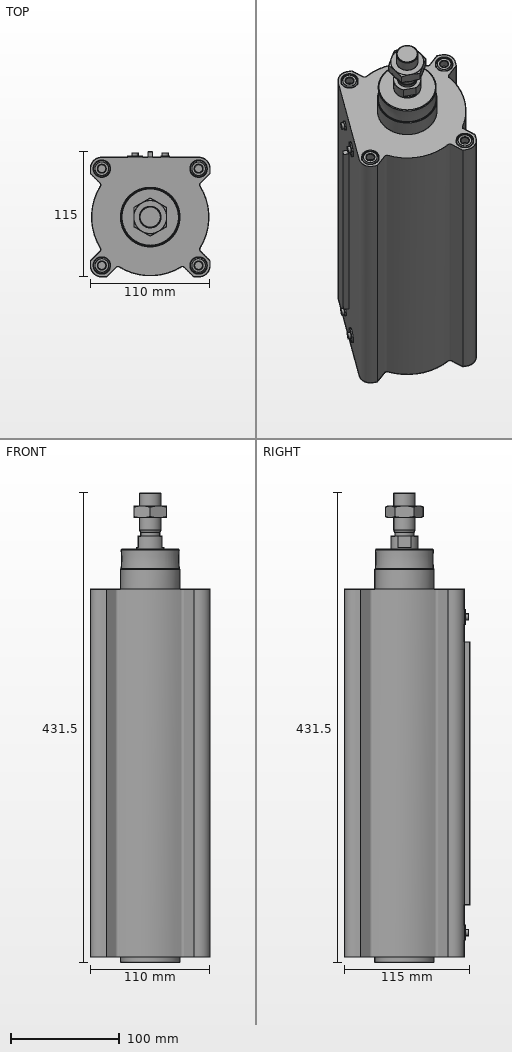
import cadquery as cq
import math

overall_height = 431.5

barrel_bottom = 5.0
barrel_top = 343.0
barrel_radius = 54.0
barrel_width = 110.0
lug_spacing = 44.5
barrel_half_width = barrel_width / 2
lug_radius = barrel_half_width - lug_spacing
lug_flat_end = 40.0
web_fillet = 2.5

groove_outer_diameter = 16.0
groove_inner_diameter = 15.0
groove_depth = 2.0
screw_head_chamfer = 1.5
socket_diameter = 7.5
socket_mouth_diameter = 8.0
socket_depth = 8.5

collar_diameter = 55.0
bottom_collar_fillet = 1.5
neck_top = 362.0
neck_chamfer = 1.0
wiper_top = 379.7
wiper_end_diameter = 53.5
wiper_waist_diameter = 52.5
wiper_top_chamfer = 1.0

rod_diameter = 25.0
rod_shoulder = 392.0
rod_flat_width = 22.0
rod_flat_bottom = 381.5
undercut_diameter = 17.5
undercut_top = 395.0
thread_diameter = 20.0
thread_lower_chamfer_height = 2.5
thread_lower_chamfer_depth = (thread_diameter - undercut_diameter) / 2
thread_top_chamfer = 0.65

nut_bottom = 408.5
nut_height = 11.0
nut_across_flats = 30.0
nut_corner_chamfer_height = 1.1

rail_width = 4.5
rail_bottom = 53.0
rail_top = 294.5
rail_height = 5.0
rail_fillet = 1.0
fitting_offset = 14.0
fitting_heights = (27.5, 317.5)
flange_thickness = 1.5
wide_flange_diameter = 14.0
narrow_flange_diameter = 8.0
fitting_head_diameter = 6.0
fitting_head_height = 4.0


def cylinder(diameter, bottom, top):
    """Round bar on the Z axis between two heights."""
    return cq.Workplane("XY").workplane(offset=bottom).circle(diameter / 2).extrude(top - bottom)


def lug(angle):
    """Corner lug with a rounded corner, two flat sides and 45 degree webs, turned about Z."""
    corner_arc = lug_spacing + lug_radius * math.sin(math.pi / 4)
    outline = (
        cq.Workplane("XY")
        .workplane(offset=barrel_bottom)
        .moveTo(barrel_half_width, lug_flat_end)
        .lineTo(barrel_half_width, lug_spacing)
        .threePointArc((corner_arc, corner_arc), (lug_spacing, barrel_half_width))
        .lineTo(lug_flat_end, barrel_half_width)
        .lineTo(0, barrel_half_width - lug_flat_end)
        .lineTo(barrel_half_width - lug_flat_end, 0)
        .close()
    )
    return outline.extrude(barrel_top - barrel_bottom).rotate((0, 0, 0), (0, 0, 1), angle)


def barrel():
    """Round barrel with four corner lugs, filleted webs and a flat +Y side."""
    body = cylinder(2 * barrel_radius, barrel_bottom, barrel_top)
    for angle in (0, 90, 180, 270):
        body = body.union(lug(angle))
    edge_band = 0.05
    concave = [
        edge
        for edge in body.edges("|Z").vals()
        if abs(math.hypot(edge.Center().x, edge.Center().y) - barrel_radius) < edge_band
        and edge.Center().y < lug_flat_end
    ]
    body = body.newObject(concave).fillet(web_fillet)
    flat_side = (
        cq.Workplane("XY")
        .workplane(offset=barrel_bottom)
        .center(0, barrel_half_width / 2)
        .rect(2 * lug_flat_end, barrel_half_width)
        .extrude(barrel_top - barrel_bottom)
    )
    return body.union(flat_side)


def screw_recesses():
    """Cutters for the ring groove and the chamfered socket in the top of each lug."""
    mouth_depth = (socket_mouth_diameter - socket_diameter) / 2
    groove = cylinder(groove_outer_diameter, barrel_top - groove_depth, barrel_top)
    head = cylinder(groove_inner_diameter, barrel_top - groove_depth, barrel_top)
    groove = groove.cut(head.faces(">Z").edges().chamfer(screw_head_chamfer))
    socket = (
        cq.Workplane("XZ")
        .moveTo(0, barrel_top)
        .lineTo(socket_mouth_diameter / 2, barrel_top)
        .lineTo(socket_diameter / 2, barrel_top - mouth_depth)
        .lineTo(socket_diameter / 2, barrel_top - socket_depth)
        .lineTo(0, barrel_top - socket_depth)
        .close()
        .revolve(360, (0, 0, 0), (0, 1, 0))
    )
    cutter = cq.Compound.makeCompound([groove.val(), socket.val()])
    corners = cq.Workplane("XY").rect(2 * lug_spacing, 2 * lug_spacing, forConstruction=True).vertices()
    return corners.eachpoint(lambda place: cutter.moved(place))


def collars():
    """Bottom spigot, top neck and the slightly waisted wiper collar above it."""
    spigot = cylinder(collar_diameter, 0, barrel_bottom)
    spigot = spigot.faces("<Z").edges().fillet(bottom_collar_fillet)
    neck = cylinder(collar_diameter, barrel_top, neck_top)
    neck = neck.faces(">Z").edges().chamfer(neck_chamfer)
    wiper = (
        cq.Workplane("XZ")
        .moveTo(0, neck_top)
        .lineTo(wiper_end_diameter / 2, neck_top)
        .threePointArc(
            (wiper_waist_diameter / 2, (neck_top + wiper_top) / 2),
            (wiper_end_diameter / 2, wiper_top),
        )
        .lineTo(0, wiper_top)
        .close()
        .revolve(360, (0, 0, 0), (0, 1, 0))
        .faces(">Z")
        .edges()
        .chamfer(wiper_top_chamfer)
    )
    return spigot, neck, wiper


def sensor_rail():
    """Long rail with rounded edges on the flat +Y side."""
    return (
        cq.Workplane("XY")
        .workplane(offset=rail_bottom)
        .center(0, barrel_half_width + rail_height / 2)
        .rect(rail_width, rail_height)
        .extrude(rail_top - rail_bottom)
        .faces(">Y")
        .edges("|Z")
        .fillet(rail_fillet)
    )


def fitting(x, z, flange_diameter):
    """Round-headed fitting on a round flange, standing on the flat +Y side."""
    base = cq.Workplane("XZ", origin=(x, barrel_half_width, z))
    flange = base.circle(flange_diameter / 2).extrude(-flange_thickness)
    head = base.circle(fitting_head_diameter / 2).extrude(-fitting_head_height)
    return flange.union(head)


def make_housing():
    """Barrel with its collars, rail and fittings, bored for the piston rod."""
    body = barrel().cut(screw_recesses())
    for collar in collars():
        body = body.union(collar)
    body = body.union(sensor_rail())
    for z in fitting_heights:
        body = body.union(fitting(-fitting_offset, z, wide_flange_diameter))
        body = body.union(fitting(fitting_offset, z, narrow_flange_diameter))
    return body.cut(cylinder(rod_diameter, barrel_top, wiper_top))


def make_rod():
    """Rod with two wrench flats, an undercut and a plain cylinder for the thread."""
    shank = cylinder(rod_diameter, barrel_top, rod_shoulder)
    flats = (
        cq.Workplane("XY")
        .workplane(offset=rod_flat_bottom)
        .rect(2 * rod_diameter, 2 * rod_diameter)
        .rect(rod_flat_width, 2 * rod_diameter)
        .extrude(rod_shoulder - rod_flat_bottom)
    )
    undercut = cylinder(undercut_diameter, rod_shoulder, undercut_top)
    thread = cylinder(thread_diameter, undercut_top, overall_height)
    thread = thread.faces(">Z").edges().chamfer(thread_top_chamfer)
    thread = thread.faces("<Z").edges().chamfer(thread_lower_chamfer_height, thread_lower_chamfer_depth)
    return shank.cut(flats).union(undercut).union(thread)


def make_nut():
    """Hexagon nut with corners along Y and cone-chamfered at both ends."""
    corner_diameter = nut_across_flats / math.cos(math.pi / 6)
    corner_chamfer = (corner_diameter - nut_across_flats) / 2
    top = nut_bottom + nut_height
    blank = (
        cq.Workplane("XY")
        .workplane(offset=nut_bottom)
        .polygon(6, corner_diameter)
        .extrude(nut_height)
        .rotate((0, 0, 0), (0, 0, 1), 30)
    )
    envelope = cylinder(corner_diameter, nut_bottom, top)
    envelope = envelope.faces(">Z").edges().chamfer(nut_corner_chamfer_height, corner_chamfer)
    envelope = envelope.faces("<Z").edges().chamfer(nut_corner_chamfer_height, corner_chamfer)
    return blank.intersect(envelope).cut(cylinder(thread_diameter, nut_bottom, top))


housing = make_housing()
rod = make_rod()
nut = make_nut()

result = cq.Compound.makeCompound([body.solids().val() for body in (housing, rod, nut)])